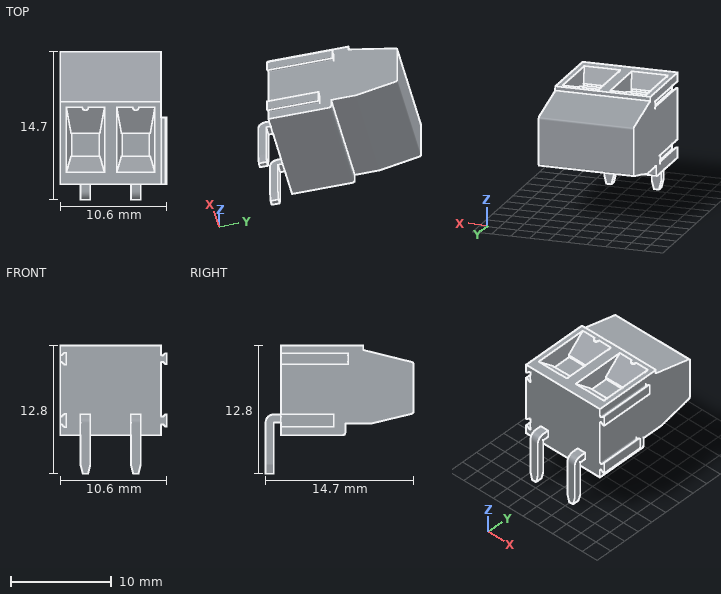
import cadquery as cq
import math

POLES = 2
PITCH = 5.0
BODY_WIDTH = POLES * PITCH
BODY_DEPTH = 13.17
BODY_HEIGHT = 8.91

TOP_DEPTH = 8.17
TOP_STEP = 0.44
BACK_TOP = 7.23
BACK_BOTTOM = 2.16
UNDERSIDE_STEP = 1.15
UNDERSIDE_SLOPE_START = 8.94
FOOT_DEPTH = 6.41
EDGE_RADIUS = 0.3

POCKET_WIDTH = 3.79
POCKET_FRONT = 1.2
POCKET_BACK = 7.65
FLOOR_FRONT = 2.8
FLOOR_BACK = 5.07
POCKET_DEPTH = 1.5
WELL_DEPTH = 0.2
FLOOR_WIDTH = 2.7
BUMP_RADIUS = 0.3

DOVETAILS = (
    (7.6, 0.32, 0.55, 6.66),
    (1.47, 0.38, 0.6, 5.26),
)
DOVETAIL_DEPTH = 0.59
TONGUE_LIP_RADIUS = 0.13
GROOVE_LIP_RADIUS = 0.095
GROOVE_CLEARANCE = 0.06
HEAD_RADIUS = 0.06

PIN_WIDTH = 1.0
PIN_THICKNESS = 0.82
PIN_REACH = 1.53
PIN_TOP = 2.07
PIN_BOTTOM = -3.84
PIN_TIP_WIDTH = 0.53
PIN_TAPER_LENGTH = 0.93


def make_housing():
    outline = [
        (0, 0),
        (FOOT_DEPTH, 0),
        (FOOT_DEPTH, UNDERSIDE_STEP),
        (UNDERSIDE_SLOPE_START, UNDERSIDE_STEP),
        (BODY_DEPTH, BACK_BOTTOM),
        (BODY_DEPTH, BACK_TOP),
        (TOP_DEPTH, BODY_HEIGHT - TOP_STEP),
        (TOP_DEPTH, BODY_HEIGHT),
        (0, BODY_HEIGHT),
    ]
    housing = cq.Workplane("YZ").polyline(outline).close().extrude(BODY_WIDTH)
    housing = housing.edges("|X").edges(">Y").fillet(EDGE_RADIUS)
    foot_edge = cq.selectors.NearestToPointSelector((BODY_WIDTH / 2, FOOT_DEPTH, 0))
    return housing.edges(foot_edge).fillet(EDGE_RADIUS)


def make_pocket(center_x):
    """Pocket with four sloping walls; the side walls slope all the way to the floor."""
    floor_z = BODY_HEIGHT - POCKET_DEPTH
    length_profile = [
        (POCKET_FRONT, BODY_HEIGHT),
        (FLOOR_FRONT, floor_z + WELL_DEPTH),
        (FLOOR_FRONT, floor_z),
        (FLOOR_BACK, floor_z),
        (FLOOR_BACK, floor_z + WELL_DEPTH),
        (POCKET_BACK, BODY_HEIGHT),
    ]
    width_profile = [
        (center_x - POCKET_WIDTH / 2, BODY_HEIGHT),
        (center_x - FLOOR_WIDTH / 2, floor_z),
        (center_x + FLOOR_WIDTH / 2, floor_z),
        (center_x + POCKET_WIDTH / 2, BODY_HEIGHT),
    ]
    lengthwise = cq.Workplane("YZ").polyline(length_profile).close().extrude(BODY_WIDTH)
    crosswise = cq.Workplane("XZ").polyline(width_profile).close().extrude(-BODY_DEPTH)
    bump = (
        cq.Workplane("XY", origin=(center_x, POCKET_BACK, floor_z))
        .circle(BUMP_RADIUS)
        .extrude(POCKET_DEPTH)
    )
    return lengthwise.intersect(crosswise).cut(bump)


def make_dovetail(center_z, neck, head, length, lip_radius):
    """Dovetail bar growing along +X from x = 0, with round lips at its root and a 45 degree flare."""
    diagonal = lip_radius * math.sqrt(0.5)
    lip_center = neck + lip_radius
    flare_x = lip_radius + diagonal
    flare_z = lip_center - diagonal
    head_x = flare_x + head - flare_z
    return (
        cq.Workplane("XZ", origin=(0, 0, center_z))
        .moveTo(0, lip_center)
        .threePointArc((lip_radius, neck), (flare_x, flare_z))
        .lineTo(head_x, head)
        .lineTo(DOVETAIL_DEPTH, head)
        .lineTo(DOVETAIL_DEPTH, -head)
        .lineTo(head_x, -head)
        .lineTo(flare_x, -flare_z)
        .threePointArc((lip_radius, -neck), (0, -lip_center))
        .close()
        .extrude(-length)
    )


def make_groove(center_z, neck, head, length):
    return make_dovetail(center_z, neck, head + GROOVE_CLEARANCE, length, GROOVE_LIP_RADIUS)


def make_tongue(center_z, neck, head, length):
    tongue = make_dovetail(center_z, neck, head, length, TONGUE_LIP_RADIUS)
    tongue = tongue.edges("|Y").edges(">X").fillet(HEAD_RADIUS)
    return tongue.translate((BODY_WIDTH, 0, 0))


def make_pin(center_x):
    """Pin bent down in front of the housing, with its tip narrowed from both sides."""
    inner_y = PIN_THICKNESS - PIN_REACH
    bend_z = PIN_TOP - PIN_THICKNESS
    bent_strip = (
        cq.Workplane("YZ", origin=(center_x - PIN_WIDTH / 2, 0, 0))
        .moveTo(0, PIN_TOP)
        .lineTo(inner_y, PIN_TOP)
        .radiusArc((-PIN_REACH, bend_z), -PIN_THICKNESS)
        .lineTo(-PIN_REACH, PIN_BOTTOM)
        .lineTo(inner_y, PIN_BOTTOM)
        .lineTo(inner_y, bend_z)
        .lineTo(0, bend_z)
        .close()
        .extrude(PIN_WIDTH)
    )
    taper_start = PIN_BOTTOM + PIN_TAPER_LENGTH
    front_outline = [
        (center_x - PIN_WIDTH / 2, PIN_TOP),
        (center_x - PIN_WIDTH / 2, taper_start),
        (center_x - PIN_TIP_WIDTH / 2, PIN_BOTTOM),
        (center_x + PIN_TIP_WIDTH / 2, PIN_BOTTOM),
        (center_x + PIN_WIDTH / 2, taper_start),
        (center_x + PIN_WIDTH / 2, PIN_TOP),
    ]
    tapered_blank = cq.Workplane("XZ").polyline(front_outline).close().extrude(PIN_REACH)
    return bent_strip.intersect(tapered_blank)


result = make_housing()
for pole in range(POLES):
    pole_x = (pole + 0.5) * PITCH
    result = result.cut(make_pocket(pole_x)).union(make_pin(pole_x))
for dovetail in DOVETAILS:
    result = result.cut(make_groove(*dovetail)).union(make_tongue(*dovetail))